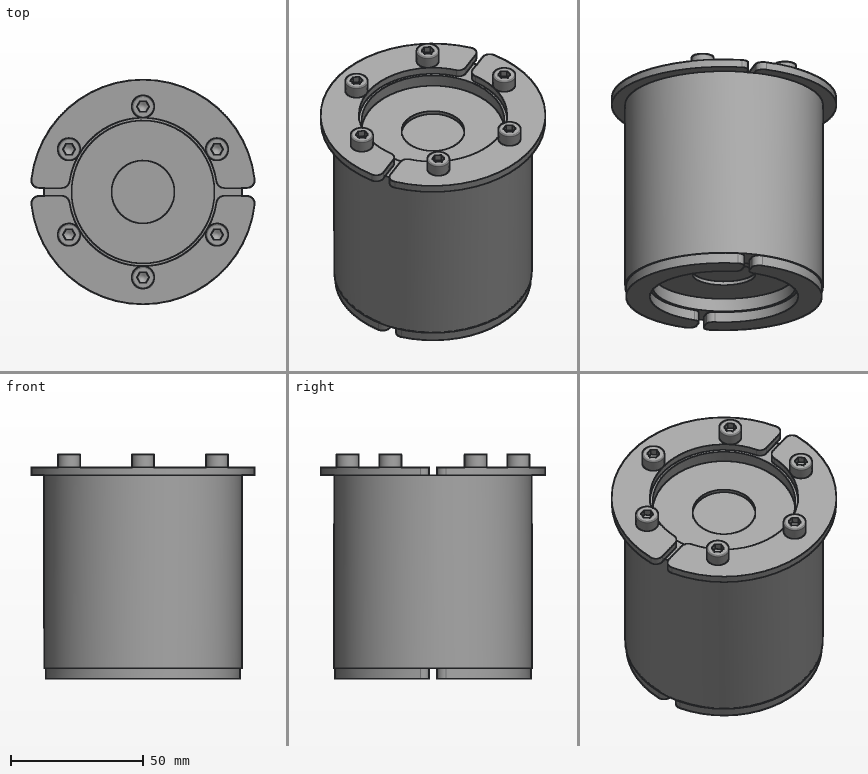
import cadquery as cq
import math


total_height = 85.0
lower_plate_thickness = 4.0
upper_plate_thickness = 3.0
head_height = 5.0
upper_plate_top = total_height - head_height
body_top = upper_plate_top - upper_plate_thickness
body_bottom = lower_plate_thickness
body_height = body_top - body_bottom

upper_plate_diameter = 85.0
lower_plate_diameter = 74.1
plate_opening_diameter = 56.1
plate_gap = 3.0
plate_corner_radius = 3.0

body_diameter = 75.0
recess_diameter = 54.1
recess_depth = 5.0
core_diameter = 23.8
core_depth = 1.45

screw_count = 6
screw_circle_radius = 32.3
head_diameter = 8.5
head_edge_radius = 0.4
socket_width = 4.0
socket_depth = 2.5
socket_cone_depth = 1.1


def cylinder(diameter, height, base_z):
    return cq.Workplane("XY").workplane(offset=base_z).circle(diameter / 2).extrude(height)


def split_plate(outer_diameter, thickness, base_z):
    """Ring parted into two halves by a straight gap, with all corners rounded."""
    ring = cylinder(outer_diameter, thickness, base_z)
    ring = ring.cut(cylinder(plate_opening_diameter, thickness, base_z))
    gap = (
        cq.Workplane("XY")
        .workplane(offset=base_z)
        .rect(2 * outer_diameter, plate_gap)
        .extrude(thickness)
    )
    gap_corners = cq.selectors.BoxSelector(
        (-outer_diameter, -plate_gap, base_z - thickness),
        (outer_diameter, plate_gap, base_z + 2 * thickness),
    )
    return ring.cut(gap).edges("|Z").edges(gap_corners).fillet(plate_corner_radius)


def rubber_body():
    """Solid cylinder with the same stepped recess in both ends."""
    body = cylinder(body_diameter, body_height, body_bottom)
    core_total_depth = recess_depth + core_depth
    for diameter, depth in ((recess_diameter, recess_depth), (core_diameter, core_total_depth)):
        body = body.cut(cylinder(diameter, depth, body_top - depth))
        body = body.cut(cylinder(diameter, depth, body_bottom))
    return body


def screw_head():
    """Screw head standing on Z = 0, with a hexagon socket that ends in a cone."""
    head = cylinder(head_diameter, head_height, 0).faces(">Z").edges().fillet(head_edge_radius)
    socket_corner_diameter = socket_width / math.cos(math.pi / 6)
    socket_corner_radius = socket_corner_diameter / 2
    cone_base = head_height - socket_depth
    cone_tip = cone_base - socket_cone_depth
    hexagon = (
        cq.Workplane("XY")
        .workplane(offset=cone_tip)
        .polygon(6, socket_corner_diameter)
        .extrude(head_height - cone_tip)
    )
    pointed_bar = (
        cq.Workplane("XZ")
        .moveTo(0, cone_tip)
        .lineTo(socket_corner_radius, cone_base)
        .lineTo(socket_corner_radius, head_height)
        .lineTo(0, head_height)
        .close()
        .revolve(360, (0, 0), (0, 1))
    )
    return head.cut(hexagon.intersect(pointed_bar))


result = rubber_body()
result = result.union(split_plate(upper_plate_diameter, upper_plate_thickness, body_top))
result = result.union(split_plate(lower_plate_diameter, lower_plate_thickness, 0))

head = screw_head()
for index in range(screw_count):
    angle = math.radians(90 + index * 360 / screw_count)
    x = screw_circle_radius * math.cos(angle)
    y = screw_circle_radius * math.sin(angle)
    result = result.union(head.translate((x, y, upper_plate_top)))